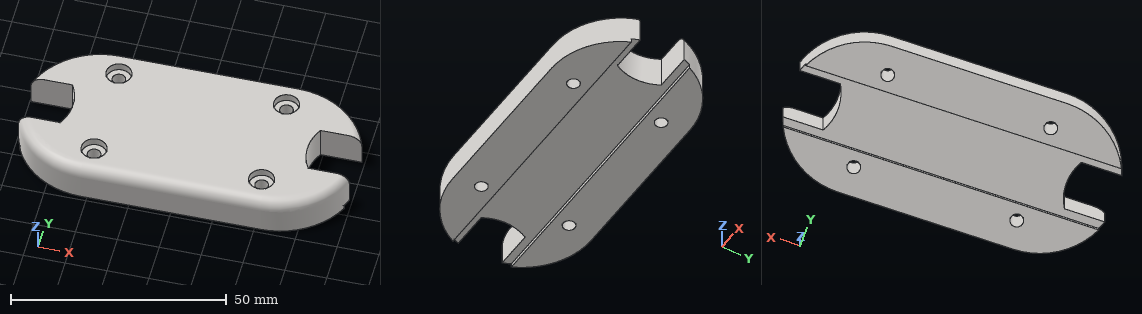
import cadquery as cq
import math

length = 79.05
width = 38.0
height = 9.5
top_fillet = 3.0
end_radius = width / 2

notch_width = 12.0
notch_floor_radius = 12.0
notch_floor_center_x = 40.0

channel_width = 16.0
channel_depth = 1.0

hole_spacing_x = 40.0
hole_spacing_y = 24.0
hole_diameter = 3.2
counterbore_diameter = 6.0
counterbore_depth = 2.0

end_center_x = length / 2 - math.sqrt(end_radius**2 - (notch_width / 2) ** 2)
full_length = 2 * (end_center_x + end_radius)


def make_body():
    """Stadium-shaped plate with a rounded top rim."""
    plate = cq.Workplane("XY").slot2D(full_length, width).extrude(height)
    return plate.faces(">Z").edges().fillet(top_fillet)


def make_notch(side):
    """Cutter for the notch at the end on the given side (-1 or +1)."""
    center_x = side * notch_floor_center_x
    disc = cq.Workplane("XY").center(center_x, 0).circle(notch_floor_radius).extrude(height)
    strip = cq.Workplane("XY").center(center_x, 0).rect(2 * notch_floor_radius, notch_width).extrude(height)
    return strip.intersect(disc)


def make_channel():
    """Cutter for the underside channel."""
    return cq.Workplane("XY").rect(full_length, channel_width).extrude(channel_depth)


result = make_body().cut(make_channel())
for end in (-1, 1):
    result = result.cut(make_notch(end))

result = (
    result.faces(">Z")
    .workplane(origin=(0, 0, height))
    .rarray(hole_spacing_x, hole_spacing_y, 2, 2)
    .cboreHole(hole_diameter, counterbore_diameter, counterbore_depth)
)